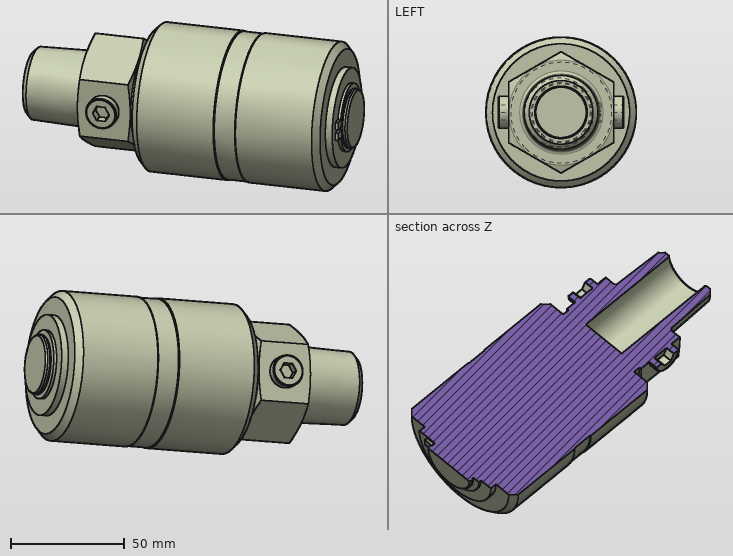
import cadquery as cq
import math

thread_end = 26.7
hex_start = 28.0
hex_end = 52.4
body_start = 55.5
band_start = 93.7
band_end = 104.0
body_end = 142.0
flange_end = 145.2
overall_length = 149.2

thread_tip_radius = 16.3
thread_root_radius = 17.0
thread_chamfer = 2.2
thread_fillet = hex_start - thread_end
bore_diameter = 22.2
bore_depth = hex_end
bore_chamfer = 0.5

hex_flats = 46.3
hex_chamfer_length = 1.0
hex_face_radius = hex_flats / 2

body_diameter = 66.4
body_chamfer = 3.0
flange_diameter = 44.5
band_diameter = 65.8
band_bevel = 0.5

rotor_diameter = 26.5
rotor_tip_diameter = 25.5
rotor_chamfer_length = 0.9
groove_diameter = 25.5
groove_length = 2.0
ring_thickness = 1.3
ring_diameter = 30.5
ring_offset = 0.9
ring_gap = 1.5
ear_reach = 17.5
ear_width = 8.4

screw_diameter = 14.0
screw_span = 55.2
screw_chamfer = 0.5
socket_flats = 6.5
socket_depth = 5.5


def across_corners(flats):
    """Corner-to-corner size of a hexagon with the given size across flats."""
    return flats / math.cos(math.radians(30))


def cylinder(start, end, diameter):
    """Solid cylinder on the X axis between two stations."""
    return cq.Workplane("YZ", origin=(start, 0, 0)).circle(diameter / 2).extrude(end - start)


def revolve_about_x(outline):
    """Turn an outline of the XY plane about the X axis."""
    return outline.close().revolve(360, (0, 0, 0), (1, 0, 0))


def make_thread():
    """Tapered spigot with a chamfered tip, widening in a fillet to the hexagon."""
    fillet_top = thread_root_radius + thread_fillet
    fillet_mid = thread_fillet * math.sin(math.radians(45))
    return revolve_about_x(
        cq.Workplane("XY")
        .lineTo(0, thread_tip_radius - thread_chamfer)
        .lineTo(thread_chamfer, thread_tip_radius)
        .lineTo(thread_end, thread_root_radius)
        .threePointArc((thread_end + fillet_mid, fillet_top - fillet_mid), (hex_start, fillet_top))
        .lineTo(hex_start, 0)
    )


def make_hexagon():
    """Hexagon with corners on the Z axis, its two ends cut back by cones."""
    corner_radius = across_corners(hex_flats) / 2
    prism = (
        cq.Workplane("YZ", origin=(hex_start, 0, 0))
        .polygon(6, 2 * corner_radius)
        .extrude(hex_end - hex_start)
        .rotate((0, 0, 0), (1, 0, 0), 90)
    )
    envelope = revolve_about_x(
        cq.Workplane("XY")
        .moveTo(hex_start, 0)
        .lineTo(hex_start, hex_face_radius)
        .lineTo(hex_start + hex_chamfer_length, corner_radius)
        .lineTo(hex_end - hex_chamfer_length, corner_radius)
        .lineTo(hex_end, hex_face_radius)
        .lineTo(hex_end, 0)
    )
    return prism.intersect(envelope)


def make_body():
    """Chamfered barrel with a shallow bevelled band, between the neck and the flange."""
    body_radius = body_diameter / 2
    band_radius = band_diameter / 2
    barrel = revolve_about_x(
        cq.Workplane("XY")
        .moveTo(body_start, 0)
        .lineTo(body_start, body_radius - body_chamfer)
        .lineTo(body_start + body_chamfer, body_radius)
        .lineTo(band_start, body_radius)
        .lineTo(band_start + band_bevel, band_radius)
        .lineTo(band_end - band_bevel, band_radius)
        .lineTo(band_end, body_radius)
        .lineTo(body_end - body_chamfer, body_radius)
        .lineTo(body_end, body_radius - body_chamfer)
        .lineTo(body_end, 0)
    )
    neck = cylinder(hex_end, body_start, flange_diameter)
    flange = cylinder(body_end, flange_end, flange_diameter)
    return barrel.union(neck).union(flange)


def make_rotor_end():
    """Grooved shaft end with a chamfered tip."""
    rotor_radius = rotor_diameter / 2
    groove_end = flange_end + groove_length
    groove = cylinder(flange_end, groove_end, groove_diameter)
    tip = revolve_about_x(
        cq.Workplane("XY")
        .moveTo(groove_end, 0)
        .lineTo(groove_end, rotor_radius)
        .lineTo(overall_length - rotor_chamfer_length, rotor_radius)
        .lineTo(overall_length, rotor_tip_diameter / 2)
        .lineTo(overall_length, 0)
    )
    return groove.union(tip)


def make_retaining_ring():
    """Eccentric ring in the groove, with two ears on the -Y side parted by a gap."""
    plane = cq.Workplane("YZ", origin=(flange_end, 0, 0))
    ring = plane.center(ring_offset, 0).circle(ring_diameter / 2).extrude(ring_thickness)
    ears = plane.center(-ear_reach / 2, 0).rect(ear_reach, ear_width).extrude(ring_thickness)
    gap = plane.center(-ear_reach / 2, 0).rect(ear_reach, ring_gap).extrude(ring_thickness)
    return ring.union(ears).cut(gap)


def make_screws():
    """Screw heads standing out of both side flats, each with a hexagon socket."""
    middle = (hex_start + hex_end) / 2
    plane = cq.Workplane("XZ", origin=(middle, screw_span / 2, 0))
    screws = plane.circle(screw_diameter / 2).extrude(screw_span).edges().chamfer(screw_chamfer)
    socket = plane.polygon(6, across_corners(socket_flats)).extrude(socket_depth)
    return screws.cut(socket).cut(socket.mirror("XZ"))


def make_bore():
    """Blind bore from the threaded end, with a small chamfer at its mouth."""
    bore = cylinder(0, bore_depth, bore_diameter)
    mouth_radius = bore_diameter / 2 + bore_chamfer
    mouth = revolve_about_x(
        cq.Workplane("XY")
        .lineTo(0, mouth_radius)
        .lineTo(mouth_radius, 0)
    )
    return bore.union(mouth)


result = (
    make_thread()
    .union(make_hexagon())
    .union(make_screws())
    .union(make_body())
    .union(make_retaining_ring())
    .union(make_rotor_end())
    .cut(make_bore())
)